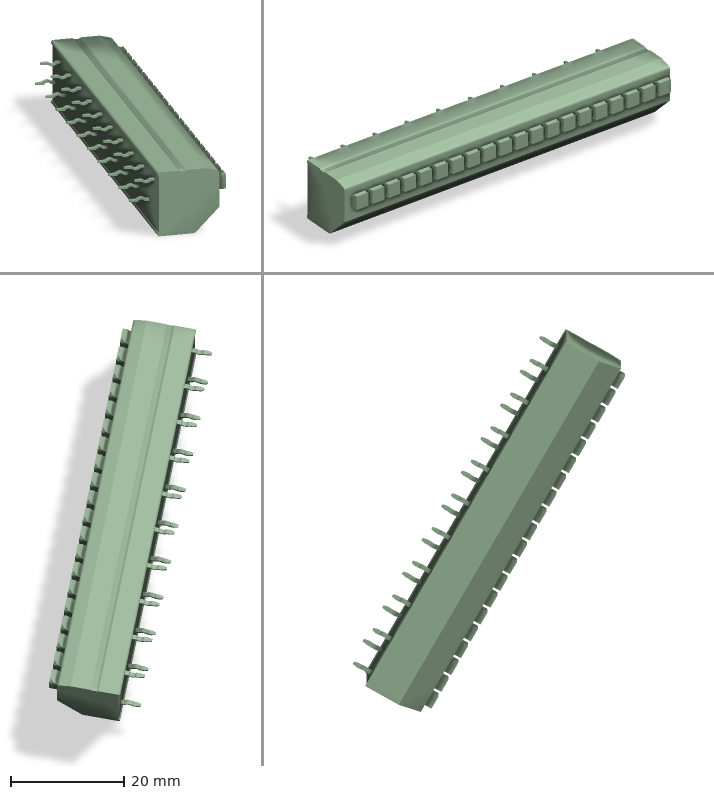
import cadquery as cq
import math

length = 71.5
depth = 11.3
height = 12.0
bottom_chamfer = 4.5
lip_height = 0.65
recess_depth = 0.2
lip_chamfer = 0.2

slope_length = 2.4
slope_drop = 0.65
edge_radius = 0.6

groove_rear = 5.5
groove_front = 3.85
groove_depth = 0.2
groove_rear_run = 0.4
groove_front_run = 0.35

pole_count = 20
pole_pitch = 3.5
first_pin_x = 1.8

button_width = 2.6
first_button_x = 2.2
button_length = 1.65
button_bottom = 7.3
button_top = 10.0
button_step_length = 0.9
button_step_run = 0.35
button_step_drop = 0.5

notch_width = 0.85
notch_length = 0.7
notch_drop = 0.65
notch_rim = 0.15

pin_width = 0.8
pin_thickness = 0.35
pin_length = 3.4
tip_length = 0.7
tip_width = 0.4
lower_pin_z = 4.7
upper_pin_z = 9.7
kink_centre = 1.3
kink_width = 1.5
kink_height = 0.35


def make_housing():
    """Housing profile in the YZ plane, extruded along X."""
    outline = [
        (lip_chamfer, 0),
        (depth - bottom_chamfer, 0),
        (depth, bottom_chamfer),
        (depth, height - slope_drop),
        (depth - slope_length, height),
        (groove_rear, height),
        (groove_rear - groove_rear_run, height - groove_depth),
        (groove_front + groove_front_run, height - groove_depth),
        (groove_front, height),
        (lip_chamfer, height),
        (0, height - lip_chamfer),
        (0, height - lip_height),
        (recess_depth, height - lip_height),
        (recess_depth, lip_height),
        (0, lip_height),
        (0, lip_chamfer),
    ]
    housing = cq.Workplane("YZ").polyline(outline).close().extrude(length)
    rear_edge = cq.selectors.NearestToPointSelector((length / 2, depth, height - slope_drop))
    return housing.edges(rear_edge).fillet(edge_radius)


def notch_wedge(rear):
    """Tetrahedron on the top edge of a button that starts at X = 0 and ends at Y = rear."""
    notch_rear = rear - notch_rim
    corner = cq.Vector(0, notch_rear, button_top)
    inward = cq.Vector(notch_width, notch_rear, button_top)
    forward = cq.Vector(0, notch_rear - notch_length, button_top)
    down = cq.Vector(0, notch_rear, button_top - notch_drop)
    triangles = [
        (corner, inward, forward),
        (corner, forward, down),
        (corner, down, inward),
        (inward, down, forward),
    ]
    faces = [cq.Face.makeFromWires(cq.Wire.makePolygon(triangle, close=True)) for triangle in triangles]
    return cq.Workplane(obj=cq.Solid.makeSolid(cq.Shell.makeShell(faces)))


def make_button():
    """Button centred on X = 0; its top steps down, over a slope, towards the housing."""
    rear = depth + button_length
    step_y = rear - button_step_length
    outline = [
        (depth, button_bottom),
        (rear, button_bottom),
        (rear, button_top),
        (step_y, button_top),
        (step_y - button_step_run, button_top - button_step_drop),
        (depth, button_top - button_step_drop),
    ]
    button = cq.Workplane("YZ").polyline(outline).close().extrude(button_width)
    button = button.cut(notch_wedge(rear))
    return button.translate((-button_width / 2, 0, 0))


def arc_half_width(radius, arc_centre_z, level):
    """Half the chord that a circle cuts from a horizontal line."""
    return math.sqrt(radius**2 - (level - arc_centre_z) ** 2)


def make_pin():
    """Pin at the origin, with an upward round kink and a tapered tip."""
    half = pin_thickness / 2
    mid_radius = (kink_width**2 / 4 + kink_height**2) / (2 * kink_height)
    arc_centre_z = kink_height - mid_radius
    under = arc_half_width(mid_radius - half, arc_centre_z, -half)
    over = arc_half_width(mid_radius + half, arc_centre_z, half)
    strip = (
        cq.Workplane("YZ", origin=(-pin_width / 2, 0, 0))
        .moveTo(recess_depth, -half)
        .lineTo(-kink_centre + under, -half)
        .threePointArc((-kink_centre, kink_height - half), (-kink_centre - under, -half))
        .lineTo(-pin_length, -half)
        .lineTo(-pin_length, half)
        .lineTo(-kink_centre - over, half)
        .threePointArc((-kink_centre, kink_height + half), (-kink_centre + over, half))
        .lineTo(recess_depth, half)
        .close()
        .extrude(pin_width)
    )
    taper_start = tip_length - pin_length
    for side in (-1, 1):
        corner = [
            (side * pin_width / 2, taper_start),
            (side * tip_width / 2, -pin_length),
            (side * pin_width / 2, -pin_length),
        ]
        shaving = cq.Workplane("XY", origin=(0, 0, -half)).polyline(corner).close().extrude(pin_thickness)
        strip = strip.cut(shaving)
    return strip


result = make_housing()
button = make_button()
lower_pin = make_pin()
upper_pin = lower_pin.mirror("XY")
for pole in range(pole_count):
    offset = pole * pole_pitch
    result = result.union(button.translate((first_button_x + offset, 0, 0)))
    if pole % 2 == 0:
        pin = lower_pin.translate((first_pin_x + offset, 0, lower_pin_z))
    else:
        pin = upper_pin.translate((first_pin_x + offset, 0, upper_pin_z))
    result = result.union(pin)